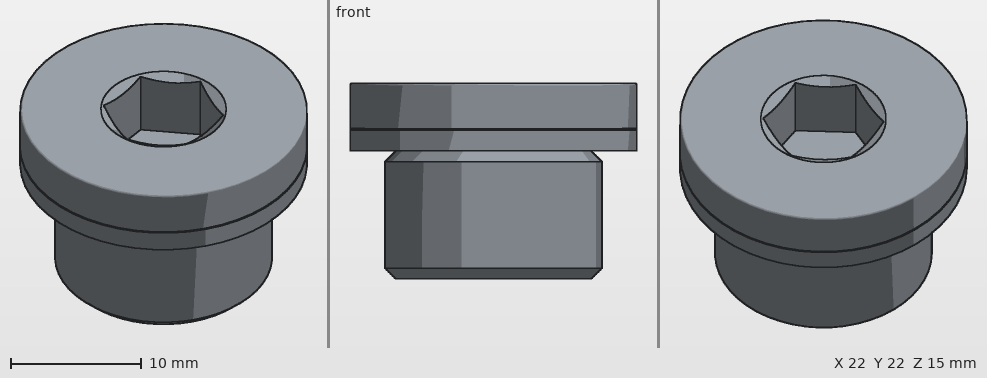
import cadquery as cq
import math

total_height = 15.0
flange_thickness = 5.2
flange_bottom = total_height - flange_thickness

flange_diameter = 22.0
head_thickness = 3.5
head_edge_radius = 0.2
groove_diameter = 19.8
groove_width = 0.1
groove_top = total_height - head_thickness
groove_bottom = groove_top - groove_width

shank_diameter = 16.66
shank_chamfer = 0.83

hex_across_flats = 8.0
hex_across_corners = hex_across_flats / math.cos(math.radians(30))
socket_depth = 5.2
lead_in_diameter = 9.6
lead_in_angle = 120.0


def make_shank():
    shank = cq.Workplane("XY").circle(shank_diameter / 2).extrude(flange_bottom)
    return shank.faces("<Z or >Z").chamfer(shank_chamfer)


def make_flange():
    flange = (
        cq.Workplane("XY", origin=(0, 0, flange_bottom))
        .circle(flange_diameter / 2)
        .extrude(flange_thickness)
        .faces(">Z")
        .edges()
        .fillet(head_edge_radius)
    )
    groove = (
        cq.Workplane("XY", origin=(0, 0, groove_bottom))
        .circle(flange_diameter / 2)
        .circle(groove_diameter / 2)
        .extrude(groove_width)
    )
    return flange.cut(groove)


def make_hex_socket():
    return (
        cq.Workplane("XY", origin=(0, 0, total_height))
        .transformed(rotate=(0, 0, 90))
        .polygon(6, hex_across_corners)
        .extrude(-socket_depth)
    )


def make_lead_in():
    radius = lead_in_diameter / 2
    cone_depth = radius / math.tan(math.radians(lead_in_angle / 2))
    cone = cq.Solid.makeCone(
        radius,
        0,
        cone_depth,
        pnt=cq.Vector(0, 0, total_height),
        dir=cq.Vector(0, 0, -1),
    )
    return cq.Workplane(obj=cone)


result = make_shank().union(make_flange()).cut(make_hex_socket()).cut(make_lead_in())